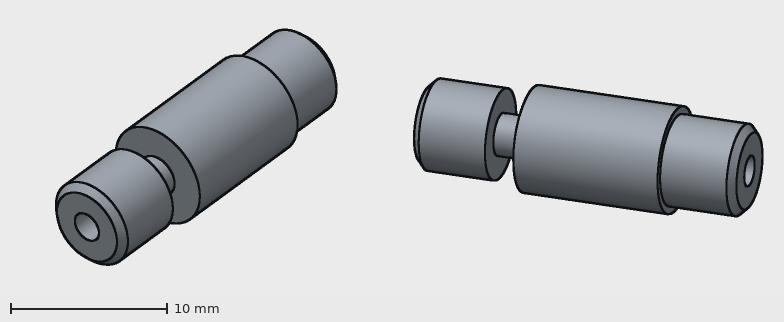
import cadquery as cq

body_diameter = 7.0
end_diameter = 6.0
neck_diameter = 2.8
bore_diameter = 2.0

head_length = 5.0
neck_length = 2.1
body_length = 9.8
tail_length = 5.0

chamfer = 0.5

head_back = head_length
body_front = head_back + neck_length
body_back = body_front + body_length
total_length = body_back + tail_length


def cylinder(diameter, start, end):
    """Solid cylinder around the Y axis from Y = start to Y = end."""
    plane = cq.Workplane("XZ", origin=(0, start, 0))
    return plane.circle(diameter / 2).extrude(start - end)


head = cylinder(end_diameter, 0, head_back).faces("<Y").chamfer(chamfer)
tail = cylinder(end_diameter, body_back, total_length).faces(">Y").chamfer(chamfer)

neck = cylinder(neck_diameter, head_back, body_front)
body = cylinder(body_diameter, body_front, body_back)

bore = cylinder(bore_diameter, 0, total_length)

result = head.union(neck).union(body).union(tail).cut(bore)